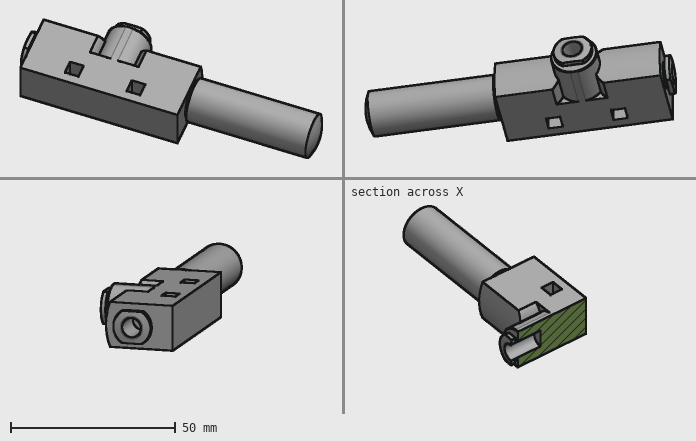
import cadquery as cq
import math

total_length = 95.25
total_width = 29.1
height = 14.0
half_height = height / 2

body_start = 2.7
body_end = 53.8
side_edge_y = 19.9
side_crown_y = 21.2

hole_side = 4.4
hole_y = 5.3
hole_spacing = 20.1

body_mid_x = (body_start + body_end) / 2
port_diameter = 14.2
port_end_y = 26.5
port_edge_chamfer = 0.2

relief_width = 15.8
relief_start_y = 13.1
relief_root_x = 5.8
relief_wall_bulge = 0.24
relief_root_z = math.sqrt((port_diameter / 2) ** 2 - relief_root_x ** 2)

collar_diameter = 11.8
collar_across_flats = 10.0
collar_thickness = 1.8
collar_face_rise = 0.4
neck_diameter = 8.1
bore_diameter = 6.0
collar_face_diameter = 7.1
bore_depth = 11.4

axis_y = 12.3
silencer_start = 54.4
silencer_diameter = 14.0
silencer_neck_diameter = 11.4
silencer_chamfer = 0.3
dome_height = 1.8
dome_start = total_length - dome_height


def make_body():
    """Block whose port side is crowned across its height."""
    return (
        cq.Workplane("YZ", origin=(body_start, 0, 0))
        .moveTo(0, -half_height)
        .lineTo(side_edge_y, -half_height)
        .threePointArc((side_crown_y, 0), (side_edge_y, half_height))
        .lineTo(0, half_height)
        .close()
        .extrude(body_end - body_start)
    )


def make_relief():
    """Notch with convex walls sloping in to the port, on the top and bottom faces."""
    half_width = relief_width / 2
    run = half_width - relief_root_x
    rise = half_height - relief_root_z
    wall_length = math.hypot(run, rise)
    wall_mid_x = (half_width + relief_root_x) / 2 - relief_wall_bulge * rise / wall_length
    wall_mid_z = (half_height + relief_root_z) / 2 + relief_wall_bulge * run / wall_length
    plane = cq.Plane(origin=(body_mid_x, relief_start_y, 0), xDir=(1, 0, 0), normal=(0, 1, 0))
    length = total_width - relief_start_y
    lower = (
        cq.Workplane(plane)
        .moveTo(-half_width, half_height)
        .lineTo(half_width, half_height)
        .threePointArc((wall_mid_x, wall_mid_z), (relief_root_x, relief_root_z))
        .lineTo(-relief_root_x, relief_root_z)
        .threePointArc((-wall_mid_x, wall_mid_z), (-half_width, half_height))
        .close()
        .extrude(length)
    )
    return lower.union(lower.mirror("XY"))


def make_port():
    """Round outlet boss, trimmed flush with the top and bottom of the body."""
    plane = cq.Plane(origin=(body_mid_x, relief_start_y, 0), xDir=(1, 0, 0), normal=(0, 1, 0))
    length = port_end_y - relief_start_y
    boss = cq.Workplane(plane).circle(port_diameter / 2).extrude(length)
    boss = boss.faces(">Y").chamfer(port_edge_chamfer)
    trim = cq.Workplane(plane).rect(port_diameter, height).extrude(length)
    return boss.intersect(trim)


def make_collar(plane, projection):
    """Necked release collar with two flats and a shallow conical face."""
    neck = cq.Workplane(plane).circle(neck_diameter / 2).extrude(projection - collar_face_rise)
    rim_end = projection - collar_face_rise
    rim_thickness = collar_thickness - collar_face_rise
    rim = (
        cq.Workplane(plane)
        .workplane(offset=rim_end)
        .circle(collar_diameter / 2)
        .extrude(-rim_thickness)
    )
    face = (
        cq.Workplane(plane)
        .workplane(offset=rim_end)
        .circle(collar_diameter / 2)
        .workplane(offset=collar_face_rise)
        .circle(collar_face_diameter / 2)
        .loft()
    )
    flats = cq.Workplane(plane).rect(collar_diameter, collar_across_flats).extrude(projection)
    return neck.union(rim.union(face).intersect(flats))


def make_bore(plane, projection):
    """Blind tube bore running inwards from the collar face."""
    return (
        cq.Workplane(plane)
        .workplane(offset=projection)
        .circle(bore_diameter / 2)
        .extrude(-bore_depth)
    )


def make_silencer():
    """Cylinder on a short neck with a domed far end."""
    radius = silencer_diameter / 2
    neck_radius = silencer_neck_diameter / 2
    sphere_radius = (radius ** 2 + dome_height ** 2) / (2 * dome_height)
    dome_mid_r = radius / 2
    dome_mid_x = total_length - sphere_radius + math.sqrt(sphere_radius ** 2 - dome_mid_r ** 2)
    return (
        cq.Workplane("XY")
        .moveTo(body_end, 0)
        .lineTo(body_end, neck_radius)
        .lineTo(silencer_start, neck_radius)
        .lineTo(silencer_start, radius - silencer_chamfer)
        .lineTo(silencer_start + silencer_chamfer, radius)
        .lineTo(dome_start, radius)
        .threePointArc((dome_mid_x, dome_mid_r), (total_length, 0))
        .close()
        .revolve(360, (0, 0, 0), (1, 0, 0))
        .translate((0, axis_y, 0))
    )


mounting_holes = (
    cq.Workplane("XY", origin=(body_mid_x, hole_y, -half_height))
    .rarray(hole_spacing, 1, 2, 1)
    .rect(hole_side, hole_side)
    .extrude(height)
)

inlet_plane = cq.Plane(origin=(body_start, axis_y, 0), xDir=(0, 1, 0), normal=(-1, 0, 0))
outlet_plane = cq.Plane(origin=(body_mid_x, port_end_y, 0), xDir=(1, 0, 0), normal=(0, 1, 0))
fittings = [(inlet_plane, body_start), (outlet_plane, total_width - port_end_y)]

result = make_body().cut(make_relief()).cut(mounting_holes)
result = result.union(make_port()).union(make_silencer())
for fitting_plane, fitting_projection in fittings:
    result = result.union(make_collar(fitting_plane, fitting_projection))
    result = result.cut(make_bore(fitting_plane, fitting_projection))